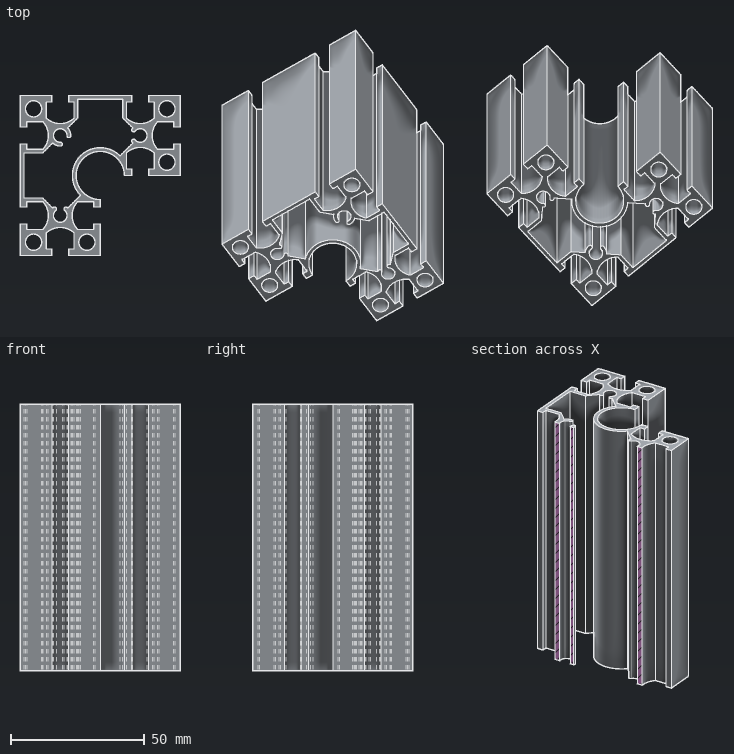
import cadquery as cq
import math

cell = 30.0
length = 100.0
half = cell / 2
wall = 1.5

slot_opening = 6.3
slot_width = 10.3
lip_depth = 2.5
slot_side_depth = 8.5
slot_floor_depth = 10.5

corner_hole_diameter = 6.0
corner_hole_inset = 5.0
channel_radius = 9.0
core_hole_radius = 2.5
ring_wall = 1.5

ring_mid_radius = core_hole_radius + ring_wall / 2
ring_outer_radius = core_hole_radius + ring_wall
wide_ring_opening = 87.0
narrow_ring_opening = 80.0

top_left = (-half, half)
top_right = (half, half)
bottom_left = (-half, -half)


def extrude_polygon(points):
    return cq.Workplane("XY").polyline(points).close().extrude(length)


def cylinder(center, radius):
    return cq.Workplane("XY").center(*center).circle(radius).extrude(length)


def t_slot(center, facing):
    """T-slot of one cell with an arched floor; facing is the angle of its open side, 0 for +X."""
    lip = half - lip_depth
    side = half - slot_side_depth
    floor = half - slot_floor_depth
    slot = (
        cq.Workplane("XY")
        .moveTo(half, slot_opening / 2)
        .lineTo(lip, slot_opening / 2)
        .lineTo(lip, slot_width / 2)
        .lineTo(side, slot_width / 2)
        .threePointArc((floor, 0), (side, -slot_width / 2))
        .lineTo(lip, -slot_width / 2)
        .lineTo(lip, -slot_opening / 2)
        .lineTo(half, -slot_opening / 2)
        .close()
        .extrude(length)
    )
    return slot.rotate((0, 0, 0), (0, 0, 1), facing).translate((*center, 0))


def ring_gap(center, facing, opening):
    """Wedge between the two ring lips, reaching past the ring."""
    reach = 2 * ring_outer_radius
    x, y = center
    points = [center]
    for angle in (facing - opening / 2, facing + opening / 2):
        turn = math.radians(angle)
        points.append((x + reach * math.cos(turn), y + reach * math.sin(turn)))
    return extrude_polygon(points)


def screw_ring(center, facing, opening):
    """Open ring around a core hole, with rounded lips."""
    ring = cylinder(center, ring_outer_radius).cut(cylinder(center, core_hole_radius))
    ring = ring.cut(ring_gap(center, facing, opening))
    x, y = center
    for angle in (facing - opening / 2, facing + opening / 2):
        turn = math.radians(angle)
        lip_center = (x + ring_mid_radius * math.cos(turn), y + ring_mid_radius * math.sin(turn))
        ring = ring.union(cylinder(lip_center, ring_wall / 2))
    return ring


def central_cavity():
    """Hollow between the cores: two boxes behind the outer walls, joined by 45 degree flanks."""
    back = cell - wall
    side = half - slot_width / 2 - wall
    mouth = cell - side
    cavity = extrude_polygon([
        top_left,
        (-side, mouth),
        (-side, back),
        (side, back),
        (side, mouth),
        top_right,
        bottom_left,
        (-mouth, -side),
        (-back, -side),
        (-back, side),
        (-mouth, side),
    ])
    return cavity.cut(cylinder((0, 0), channel_radius + wall))


body = extrude_polygon([
    (-cell, -cell),
    (0, -cell),
    (0, 0),
    (cell, 0),
    (cell, cell),
    (-cell, cell),
])

body = body.cut(central_cavity()).cut(cylinder((0, 0), channel_radius))

for core, facing, opening in (
    (top_left, -45, wide_ring_opening),
    (top_right, 180, narrow_ring_opening),
    (bottom_left, 90, narrow_ring_opening),
):
    body = body.cut(cylinder(core, core_hole_radius))
    body = body.union(screw_ring(core, facing, opening))

for core, open_sides in (
    (top_left, (90, 180)),
    (top_right, (0, 90, 270)),
    (bottom_left, (0, 180, 270)),
):
    for facing in open_sides:
        body = body.cut(t_slot(core, facing))

outer = cell - corner_hole_inset
for center in (
    (-outer, outer),
    (outer, outer),
    (outer, corner_hole_inset),
    (-corner_hole_inset, -outer),
    (-outer, -outer),
):
    body = body.cut(cylinder(center, corner_hole_diameter / 2))

result = body